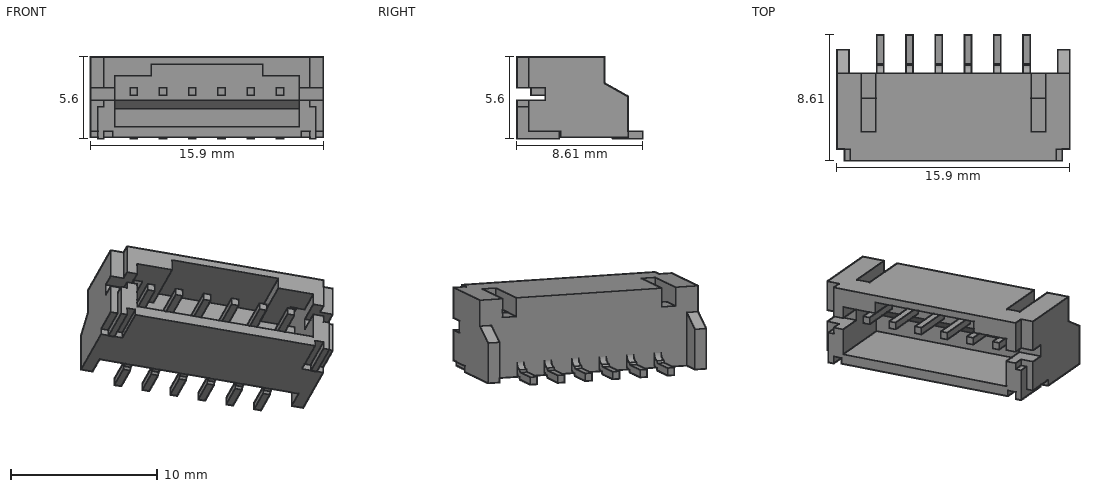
import cadquery as cq
import math


body_width = 15.9
body_depth = 6.0
body_height = 5.5
half_width = body_width / 2

cavity_half_width = 6.3
cavity_floor_z = 0.72
cavity_shoulder_z = 4.2
cavity_depth = 4.27
key_half_width = 3.8
key_top_z = 5.0

undercut_top_z = 2.55
undercut_depth = 0.6

corner_inner_x = 7.03
corner_depth = 0.8
window_depth = 1.93
window_bottom_z = undercut_top_z
window_top_z = 3.375

roof_slot_width = 1.0
roof_slot_start_y = 2.0

leg_width = 0.83
leg_end_y = 7.6
leg_top_z = 3.7
leg_end_z = 2.8

foot_bottom_z = -0.1
pocket_inner_x = 6.43
pocket_depth = 2.99
pocket_top_z = 0.43
tab_thickness = 0.42
tab_length = 2.9
tab_height_z = 2.1

pin_count = 6
pin_pitch = 2.0
pin_width = 0.5
pin_thickness = 0.5
pin_tip_y = 0.95
pin_top_z = window_top_z
pin_end_y = 8.61
foot_top_z = 0.43
jog_start_y = 6.64
jog_run = 0.12
jog_rise = 0.15
jog_underside_shift = 0.09
bend_inner_radius = 0.53


def block(x_range, y_range, z_range):
    """Box spanning the given (low, high) ranges."""
    size = [high - low for low, high in (x_range, y_range, z_range)]
    corner = (x_range[0], y_range[0], z_range[0])
    return cq.Workplane("XY").box(*size, centered=False).translate(corner)


def both_sides(shape):
    """The shape together with its mirror image across X = 0."""
    return shape.union(shape.mirror("YZ"))


def prism(profile, x_low, x_high):
    """Extrude a closed profile of the YZ plane from x_low to x_high."""
    return profile.extrude(x_high - x_low).translate((x_low, 0, 0))


def make_leg():
    root_y = body_depth / 2
    profile = (
        cq.Workplane("YZ")
        .moveTo(root_y, 0)
        .lineTo(leg_end_y, 0)
        .lineTo(leg_end_y, leg_end_z)
        .lineTo(body_depth, leg_top_z)
        .lineTo(root_y, leg_top_z)
        .close()
    )
    return prism(profile, half_width - leg_width, half_width)


def make_cavity():
    profile = (
        cq.Workplane("YZ")
        .moveTo(0, cavity_floor_z)
        .lineTo(cavity_depth + undercut_depth, cavity_floor_z)
        .lineTo(cavity_depth + undercut_depth, undercut_top_z - undercut_depth)
        .lineTo(cavity_depth, undercut_top_z)
        .lineTo(cavity_depth, cavity_shoulder_z)
        .lineTo(0, cavity_shoulder_z)
        .close()
    )
    main = prism(profile, -cavity_half_width, cavity_half_width)
    key = block(
        (-key_half_width, key_half_width),
        (0, cavity_depth),
        (undercut_top_z, key_top_z),
    )
    return main.union(key)


def make_housing():
    housing = block((-half_width, half_width), (0, body_depth), (0, body_height))
    housing = housing.union(both_sides(make_leg()))
    corner = block((corner_inner_x, half_width), (0, corner_depth), (0, body_height))
    window = block(
        (cavity_half_width, half_width),
        (0, window_depth),
        (window_bottom_z, window_top_z),
    )
    roof_slot = block(
        (cavity_half_width - roof_slot_width, cavity_half_width),
        (roof_slot_start_y, body_depth),
        (cavity_shoulder_z, body_height),
    )
    tab_pocket = block((pocket_inner_x, half_width), (0, pocket_depth), (0, pocket_top_z))
    housing = housing.cut(make_cavity())
    for cutter in (corner, window, roof_slot, tab_pocket):
        housing = housing.cut(both_sides(cutter))
    return housing


def make_tab():
    """L-shaped plate: an upright in the corner step and a foot running under the housing."""
    x_range = (corner_inner_x, corner_inner_x + tab_thickness)
    upright = block(x_range, (0, corner_depth), (foot_bottom_z, tab_height_z))
    foot = block(x_range, (0, tab_length), (foot_bottom_z, pocket_top_z))
    return upright.union(foot)


def make_pin():
    """Pin centred on X = 0: foot, small jog, bend up into the housing, and contact blade."""
    bend_start_y = jog_start_y - jog_run
    bend_outer_radius = bend_inner_radius + pin_thickness
    inner_bottom_z = foot_top_z + jog_rise
    outer_bottom_z = inner_bottom_z - pin_thickness
    bend_center_z = inner_bottom_z + bend_inner_radius
    riser_rear_y = bend_start_y - bend_inner_radius
    outer_start_y = bend_start_y - jog_underside_shift
    riser_front_y = outer_start_y - bend_outer_radius
    blade_bottom_z = pin_top_z - pin_thickness
    diagonal = math.sqrt(0.5)

    def bend_middle(start_y, radius):
        return (start_y - radius * diagonal, bend_center_z - radius * diagonal)

    profile = (
        cq.Workplane("YZ")
        .moveTo(pin_end_y, foot_bottom_z)
        .lineTo(pin_end_y, foot_top_z)
        .lineTo(jog_start_y, foot_top_z)
        .lineTo(bend_start_y, inner_bottom_z)
        .threePointArc(bend_middle(bend_start_y, bend_inner_radius), (riser_rear_y, bend_center_z))
        .lineTo(riser_rear_y, pin_top_z)
        .lineTo(pin_tip_y, pin_top_z)
        .lineTo(pin_tip_y, blade_bottom_z)
        .lineTo(riser_front_y, blade_bottom_z)
        .lineTo(riser_front_y, bend_center_z)
        .threePointArc(bend_middle(outer_start_y, bend_outer_radius), (outer_start_y, outer_bottom_z))
        .lineTo(jog_start_y - jog_underside_shift, foot_bottom_z)
        .close()
    )
    return prism(profile, -pin_width / 2, pin_width / 2)


def add_pins(part):
    pin = make_pin()
    first_x = -pin_pitch * (pin_count - 1) / 2
    for index in range(pin_count):
        part = part.union(pin.translate((first_x + index * pin_pitch, 0, 0)), clean=False)
    return part


result = add_pins(make_housing().union(both_sides(make_tab()), clean=False))